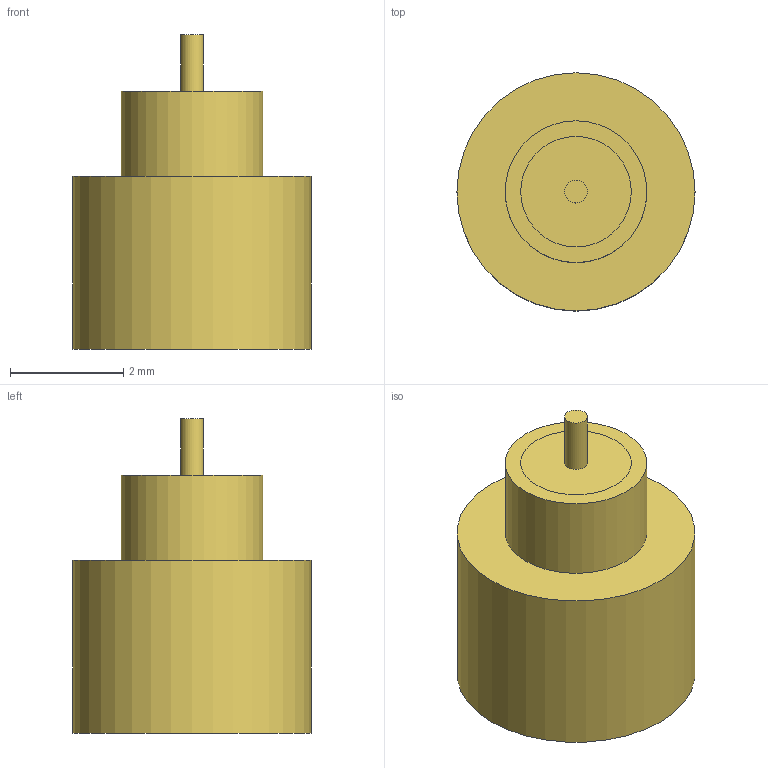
import cadquery as cq

body_diameter = 4.2
body_height = 3.05
neck_diameter = 2.5
neck_height = 1.5
insulator_diameter = 1.95
pin_diameter = 0.4
pin_height = 1.0

neck_top = body_height + neck_height


def cylinder(diameter, base_z, height):
    """Upright cylinder on the part's Z axis, standing at base_z."""
    return cq.Workplane("XY").workplane(offset=base_z).circle(diameter / 2).extrude(height)


body = cylinder(body_diameter, 0, body_height)
neck = cylinder(neck_diameter, body_height, neck_height)

insulator = cylinder(insulator_diameter, body_height, neck_height)
pin = cylinder(pin_diameter, neck_top, pin_height)

result = (
    body.union(neck, clean=False)
    .union(insulator, clean=False)
    .union(pin, clean=False)
)